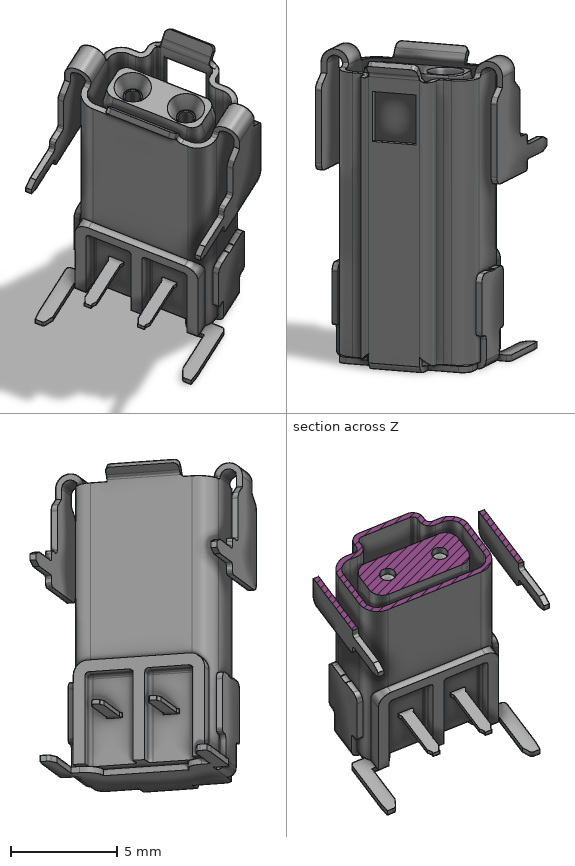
import cadquery as cq
import math


sheet = 0.3
foot_top = sheet
foot_gap = 0.05
body_bottom = foot_top + foot_gap
shell_top = 14.0
shell_half_x = 3.5
shell_half_y = 2.0
shell_corner_r = 1.0

key_half_x = 1.85
key_back_y = 3.0
key_outer_r = 0.55
key_inner_r = 0.25

relief_height = 0.45

window_half_x = 1.1
window_bottom = 11.0
window_top = 13.4

contact_pitch = 2.8
mating_floor_z = 7.0
island_half_x = 2.65
island_half_y = 1.15
island_r = 0.7
island_taper = 0.18
island_taper_height = 0.9
funnel_mouth_d = 1.75
funnel_throat_d = 0.9
funnel_depth = 0.7
throat_depth = 0.05
contact_bore_d = 0.75
contact_bore_depth = 3.0

rib_end_y = 2.29
rib_chamfer = 0.15
rib_height = 0.8
rib_base_height = 0.3

boss_half_x = 3.23
boss_front_y = -2.4
boss_top = 5.35
boss_corner_r = 0.7
pocket_center_x = 1.47
pocket_half_x = 1.18
pocket_top = 4.78
pocket_floor_y = -1.7
pocket_floor_r = 0.19
pocket_corner_r = 0.2

pin_half_x = 0.31
pin_root_half_x = 0.39
pin_thickness = 0.22
pin_mid_z = 2.73
pin_tip_y = -4.74
pin_taper = 0.33
pin_tip_half_x = 0.18
pin_embed = 0.5

hook_half_y = 0.77
hook_outer_x = 4.6
hook_axis_z = 14.1
hook_fillet = 0.2
plate_half_y = 1.47
plate_bottom = 9.02
plate_shoulder_z = 13.1
plate_neck_z = 13.6
plate_corner_r = 0.4
lug_front_y = -2.38
lug_height = 1.78
lug_corner_r = 0.2
leg_root_r = 0.15
leg_tip_y = -4.86
hook_leg_half_z = 0.345
hook_leg_tip_half_z = 0.15
leg_taper = 0.49

latch_left_x = -1.7
latch_right_x = 1.9
latch_tip_y = -2.38
latch_top = 14.81
back_latch_half_x = 1.27
back_latch_tip_y = 3.46
back_latch_top = 14.9
latch_corner_r = 0.25
latch_angle = 45
latch_bend_inner_r = 0.3
latch_root_fillet = 0.25
back_latch_root_fillet = 0.3

bend_outer_r = 0.45
bend_inner_r = bend_outer_r - sheet
wing_half_y = 1.375
wing_neck_half_y = 0.83
wing_top = 4.65
wing_shoulder_z = 1.67
wing_top_r = 0.4
wing_step_r = 0.2
wing_dip_half_y = 0.25
wing_dip_depth = 0.05

foot_half_x = 3.35
foot_back_y = 1.95
foot_back_r = 0.5
foot_strip_half_x = 1.3
foot_notch_half_x = 2.1
foot_notch_y = -1.2
foot_lip_r = 0.9
foot_leg_inner_x = 3.42
foot_leg_outer_x = 4.15
foot_leg_back_y = -1.35
foot_leg_neck_y = -2.13
foot_leg_tip_inner_x = 3.65
foot_leg_tip_outer_x = 4.1
foot_leg_tip_r = 0.2


def mirrored_pair(solid):
    """The solid together with its mirror image across the YZ plane."""
    return solid.union(solid.mirror("YZ"))


def box(x0, x1, y0, y1, z0, z1):
    return cq.Workplane("XY").box(x1 - x0, y1 - y0, z1 - z0, centered=False).translate((x0, y0, z0))


def shell_outline(inset, z0, z1):
    """Rounded rectangle with a raised key on its back, offset inwards by inset."""
    half_x = shell_half_x - inset
    half_y = shell_half_y - inset
    main = box(-half_x, half_x, -half_y, half_y, z0, z1)
    main = main.edges("|Z").fillet(shell_corner_r - inset)
    key_x = key_half_x - inset
    key = box(-key_x, key_x, 0, key_back_y - inset, z0, z1)
    key = key.edges("|Z and >Y").fillet(key_outer_r - inset)
    margin = 0.01
    valley_r = key_inner_r + inset
    body = main.union(key)
    valleys = cq.selectors.BoxSelector(
        (-key_x - margin, half_y - margin, z0 - margin), (key_x + margin, half_y + margin, z1 + margin)
    )
    return body.edges("|Z").edges(valleys).fillet(valley_r)


def make_shell():
    shell = shell_outline(0, body_bottom, shell_top)
    shell = shell.cut(shell_outline(sheet, body_bottom, shell_top))
    window = box(-window_half_x, window_half_x, shell_half_y, key_back_y, window_bottom, window_top)
    relief = (
        cq.Workplane("XZ", origin=(0, key_back_y, 0))
        .moveTo(foot_strip_half_x, body_bottom)
        .lineTo(foot_strip_half_x, body_bottom + relief_height)
        .lineTo(key_half_x, body_bottom)
        .close()
        .extrude(key_outer_r)
    )
    return shell.cut(window).cut(mirrored_pair(relief))


def make_core():
    """Plastic filling of the shell with the mating island standing on its floor."""
    core = shell_outline(sheet, body_bottom, mating_floor_z)
    island = box(-island_half_x, island_half_x, -island_half_y, island_half_y, mating_floor_z, shell_top)
    island = island.edges("|Z").fillet(island_r)
    island = island.faces(">Z").edges().chamfer(island_taper_height, island_taper)
    rib = box(-window_half_x, window_half_x, 0, rib_end_y, mating_floor_z, mating_floor_z + rib_height)
    rib = rib.edges(">Y and >Z").chamfer(rib_chamfer)
    rib_base = box(
        -window_half_x, window_half_x, 0, key_back_y - sheet, mating_floor_z, mating_floor_z + rib_base_height
    )
    core = core.union(island).union(rib).union(rib_base)
    for x in (-contact_pitch / 2, contact_pitch / 2):
        core = core.cut(contact_socket().translate((x, 0, shell_top)))
    return core


def contact_socket():
    """Cutter for a lead-in funnel, its throat and the contact bore, mouth at Z = 0."""
    throat_end = -funnel_depth - throat_depth
    return (
        cq.Workplane("XZ")
        .lineTo(funnel_mouth_d / 2, 0)
        .lineTo(funnel_throat_d / 2, -funnel_depth)
        .lineTo(funnel_throat_d / 2, throat_end)
        .lineTo(contact_bore_d / 2, throat_end)
        .lineTo(contact_bore_d / 2, throat_end - contact_bore_depth)
        .lineTo(0, throat_end - contact_bore_depth)
        .close()
        .revolve(360, (0, 0, 0), (0, 1, 0))
    )


def make_boss():
    boss = box(-boss_half_x, boss_half_x, boss_front_y, -shell_half_y + shell_corner_r, body_bottom, boss_top)
    return boss.edges("|Y and >Z").fillet(boss_corner_r)


def pocket_cutter(x):
    """Pocket open at the front and the bottom, rounded where its walls meet the floor."""
    pocket = box(x - pocket_half_x, x + pocket_half_x, boss_front_y, pocket_floor_y, 0, pocket_top)
    pocket = pocket.edges("|Y and >Z").fillet(pocket_corner_r)
    return pocket.faces(">Y").edges("not <Z").fillet(pocket_floor_r)


def make_contact_pin(x):
    """Flat solder pin, flared at the pocket floor and tapered to its tip."""
    root_y = pocket_floor_y + pin_embed
    flare = pin_root_half_x - pin_half_x
    right_side = [
        (pin_root_half_x, root_y),
        (pin_root_half_x, pocket_floor_y - flare),
        (pin_half_x, pocket_floor_y - 3 * flare),
        (pin_half_x, pin_tip_y + pin_taper),
        (pin_tip_half_x, pin_tip_y + pin_taper / 3),
        (pin_tip_half_x, pin_tip_y),
    ]
    left_side = [(-px, py) for px, py in reversed(right_side)]
    return (
        cq.Workplane("XY", origin=(x, 0, pin_mid_z - pin_thickness / 2))
        .polyline(right_side + left_side)
        .close()
        .extrude(pin_thickness)
    )


def make_hook():
    """Right-hand strip folded over the shell rim, ending in a plate with a solder leg."""
    wall_x = shell_half_x - sheet
    outer_r = (hook_outer_x - wall_x) / 2
    arch_x = wall_x + outer_r
    strip = (
        cq.Workplane("XZ", origin=(0, hook_half_y, 0))
        .moveTo(wall_x, shell_top)
        .lineTo(wall_x, hook_axis_z)
        .threePointArc((arch_x, hook_axis_z + outer_r), (hook_outer_x, hook_axis_z))
        .lineTo(hook_outer_x, plate_neck_z)
        .lineTo(hook_outer_x - sheet, plate_neck_z)
        .lineTo(hook_outer_x - sheet, hook_axis_z)
        .threePointArc((arch_x, hook_axis_z + outer_r - sheet), (shell_half_x, hook_axis_z))
        .lineTo(shell_half_x, shell_top)
        .close()
        .extrude(2 * hook_half_y)
    )
    root = box(wall_x, shell_half_x, -hook_half_y, hook_half_y, shell_top, hook_axis_z)
    for side in (-1, 1):
        root = root.union(root_fillet("YZ", (wall_x, side * hook_half_y, shell_top), side, hook_fillet))
    return strip.union(root).union(make_hook_plate())


def root_fillet(plane, corner, side, radius):
    """Concave fillet, one sheet thick, between the shell rim and a tab edge at corner."""
    fillet_mid = radius * (1 - math.sqrt(0.5))
    return (
        cq.Workplane(plane, origin=corner)
        .lineTo(side * radius, 0)
        .threePointArc((side * fillet_mid, fillet_mid), (0, radius))
        .close()
        .extrude(sheet)
    )


def make_hook_plate():
    lug_top = plate_bottom + lug_height
    leg_z = plate_bottom + lug_height / 2
    outline = [
        (hook_half_y, plate_neck_z),
        (plate_half_y, plate_shoulder_z),
        (plate_half_y, plate_bottom),
        (lug_front_y, plate_bottom),
        (lug_front_y, leg_z - hook_leg_half_z),
        (leg_tip_y + leg_taper, leg_z - hook_leg_half_z),
        (leg_tip_y, leg_z - hook_leg_tip_half_z),
        (leg_tip_y, leg_z + hook_leg_tip_half_z),
        (leg_tip_y + leg_taper, leg_z + hook_leg_half_z),
        (lug_front_y, leg_z + hook_leg_half_z),
        (lug_front_y, lug_top),
        (-plate_half_y, lug_top),
        (-plate_half_y, plate_shoulder_z),
        (-hook_half_y, plate_neck_z),
    ]
    plate = cq.Workplane("YZ", origin=(hook_outer_x - sheet, 0, 0)).polyline(outline).close().extrude(sheet)
    rounds = [
        ((plate_half_y, plate_bottom), plate_corner_r),
        ((plate_half_y, plate_shoulder_z), plate_corner_r),
        ((-plate_half_y, plate_shoulder_z), plate_corner_r),
        ((-plate_half_y, lug_top), lug_corner_r),
        ((lug_front_y, lug_top), lug_corner_r),
        ((lug_front_y, plate_bottom), lug_corner_r),
        ((lug_front_y, leg_z + hook_leg_half_z), leg_root_r),
        ((lug_front_y, leg_z - hook_leg_half_z), leg_root_r),
    ]
    for (y, z), radius in rounds:
        plate = fillet_at(plate, "|X", (hook_outer_x - sheet / 2, y, z), radius)
    return plate


def fillet_at(solid, direction, point, radius):
    """Round the edge along direction that is nearest to point."""
    return solid.edges(direction).edges(cq.selectors.NearestToPointSelector(point)).fillet(radius)


def latch(left_x, right_x, wall_y, outward, tip_y, top_z):
    """Lead-in tab rising from the shell rim and bent outwards at 45 degrees.

    wall_y is the outer face of the wall and outward is the sign of its normal in Y.
    """
    half_step = sheet * math.sqrt(0.5)
    reach = outward * (tip_y - wall_y)
    lower_tip_z = top_z - half_step
    bend_outer_z = lower_tip_z - reach
    bend_inner_z = bend_outer_z + sheet * math.tan(math.radians(latch_angle / 2))
    profile = [
        (wall_y, shell_top),
        (wall_y, bend_outer_z),
        (tip_y, lower_tip_z),
        (tip_y - outward * half_step, top_z),
        (wall_y - outward * sheet, bend_inner_z),
        (wall_y - outward * sheet, shell_top),
    ]
    tab = cq.Workplane("YZ", origin=(left_x, 0, 0)).polyline(profile).close().extrude(right_x - left_x)
    tab = fillet_at(tab, "|X", (0, wall_y, bend_outer_z), latch_bend_inner_r)
    tab = fillet_at(tab, "|X", (0, wall_y - outward * sheet, bend_inner_z), latch_bend_inner_r + sheet)
    for x in (left_x, right_x):
        corner = (x, tip_y - outward * half_step / 2, top_z - half_step / 2)
        tab = tab.edges(cq.selectors.NearestToPointSelector(corner)).fillet(latch_corner_r)
    return tab


def make_latches():
    front = latch(latch_left_x, latch_right_x, -shell_half_y, -1, latch_tip_y, latch_top)
    root = root_fillet(
        "XZ", (latch_right_x, -shell_half_y + sheet, shell_top), 1, latch_root_fillet
    )
    back = latch(-back_latch_half_x, back_latch_half_x, key_back_y, 1, back_latch_tip_y, back_latch_top)
    back_root = root_fillet("XZ", (back_latch_half_x, key_back_y, shell_top), 1, back_latch_root_fillet)
    back_root = back_root.intersect(shell_outline(0, shell_top, back_latch_top))
    return front.union(root).union(back).union(mirrored_pair(back_root))


def bend(plane, origin, length):
    """Quarter bend of the sheet from flat (Z = 0..sheet) to upright, turning towards local +X."""
    arc = math.sqrt(0.5)
    return (
        cq.Workplane(plane, origin=origin)
        .lineTo(0, sheet)
        .threePointArc(
            (bend_inner_r * arc, bend_outer_r - bend_inner_r * arc), (bend_inner_r, bend_outer_r)
        )
        .lineTo(bend_outer_r, bend_outer_r)
        .threePointArc((bend_outer_r * arc, bend_outer_r * (1 - arc)), (0, 0))
        .close()
        .extrude(length)
    )


def make_wing():
    """Right-hand wing folded up from the foot plate against the shell side."""
    wing = box(
        shell_half_x, shell_half_x + sheet, -wing_half_y, wing_half_y, wing_shoulder_z, wing_top
    )
    wing = wing.edges("|X and >Z").fillet(wing_top_r).edges("|X and <Z").fillet(wing_step_r)
    neck = box(
        shell_half_x, shell_half_x + sheet, -wing_neck_half_y, wing_neck_half_y, bend_outer_r, wing_shoulder_z
    )
    wing = wing.union(neck)
    for y in (-wing_neck_half_y, wing_neck_half_y):
        wing = fillet_at(wing, "|X", (shell_half_x + sheet / 2, y, wing_shoulder_z), wing_step_r)
    bend_x = shell_half_x + sheet - bend_outer_r
    fold = bend("XZ", (bend_x, wing_neck_half_y, 0), 2 * wing_neck_half_y)
    dip = box(
        shell_half_x, shell_half_x + sheet, -wing_dip_half_y, wing_dip_half_y,
        wing_top - wing_dip_depth, wing_top,
    )
    return wing.union(fold).cut(dip)


def make_foot_leg():
    """Right-hand flat solder leg in the plane of the foot plate."""
    leg = (
        cq.Workplane("XY")
        .moveTo(foot_notch_half_x, foot_leg_back_y)
        .lineTo(foot_leg_outer_x, foot_leg_back_y)
        .lineTo(foot_leg_outer_x, leg_tip_y + leg_taper)
        .lineTo(foot_leg_tip_outer_x, leg_tip_y)
        .lineTo(foot_leg_tip_inner_x, leg_tip_y)
        .lineTo(foot_leg_inner_x, leg_tip_y + leg_taper)
        .lineTo(foot_leg_inner_x, foot_leg_neck_y)
        .lineTo(foot_notch_half_x, foot_leg_neck_y)
        .close()
        .extrude(sheet)
    )
    leg = leg.union(box(foot_notch_half_x, foot_half_x, foot_leg_back_y, 0, 0, foot_top)).clean()
    rounds = [
        ((foot_leg_outer_x, foot_leg_back_y), wing_step_r),
        ((foot_leg_tip_inner_x, leg_tip_y), foot_leg_tip_r),
        ((foot_notch_half_x, foot_leg_neck_y), foot_lip_r),
    ]
    for (x, y), radius in rounds:
        leg = fillet_at(leg, "|Z", (x, y, sheet / 2), radius)
    return leg


def make_foot():
    """Foot plate with its side wings, its solder legs and the fold into the back wall."""
    plate = box(-foot_half_x, foot_half_x, foot_notch_y, foot_back_y, 0, foot_top)
    plate = plate.edges("|Z and >Y").fillet(foot_back_r)
    fold_y = key_back_y - bend_outer_r
    strip = box(-foot_strip_half_x, foot_strip_half_x, 0, fold_y, 0, foot_top)
    fold = bend("YZ", (-foot_strip_half_x, fold_y, 0), 2 * foot_strip_half_x)
    side = make_wing().union(make_foot_leg())
    return plate.union(strip).union(fold).union(mirrored_pair(side))


result = make_shell().union(make_core()).union(make_boss())
for side in (-1, 1):
    result = result.cut(pocket_cutter(side * pocket_center_x))
    result = result.union(make_contact_pin(side * contact_pitch / 2))
result = result.union(mirrored_pair(make_hook())).union(make_latches()).union(make_foot())